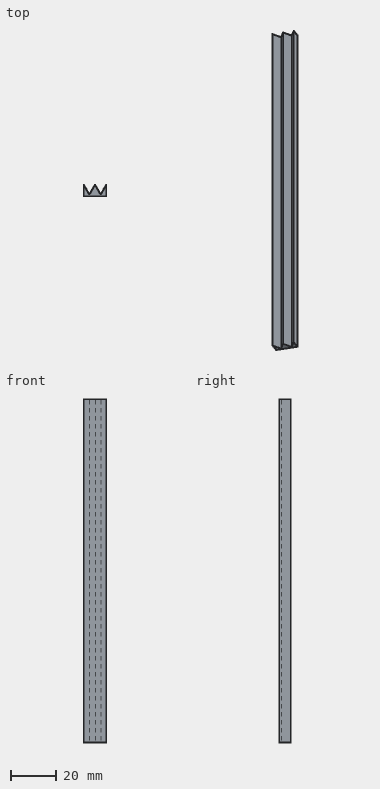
import cadquery as cq
import math

WIDTH = 10.0
DEPTH = 5.17
LENGTH = 152.0
GROOVE_COUNT = 2
GROOVE_ANGLE = 60.0

groove_width = WIDTH / GROOVE_COUNT
groove_depth = groove_width / 2 / math.tan(math.radians(GROOVE_ANGLE / 2))
groove_floor = DEPTH - groove_depth


def strip_blank():
    """Plain rectangular strip, centred on X, with its flat face at Y = 0."""
    return cq.Workplane("XY").box(WIDTH, DEPTH, LENGTH, centered=(True, False, False))


def v_groove(center_x):
    """Full-length triangular cutter, open at the tooth-tip side."""
    return (
        cq.Workplane("XY")
        .moveTo(center_x - groove_width / 2, DEPTH)
        .lineTo(center_x, groove_floor)
        .lineTo(center_x + groove_width / 2, DEPTH)
        .close()
        .extrude(LENGTH)
    )


result = strip_blank()
for index in range(GROOVE_COUNT):
    groove_center = -WIDTH / 2 + (index + 0.5) * groove_width
    result = result.cut(v_groove(groove_center))